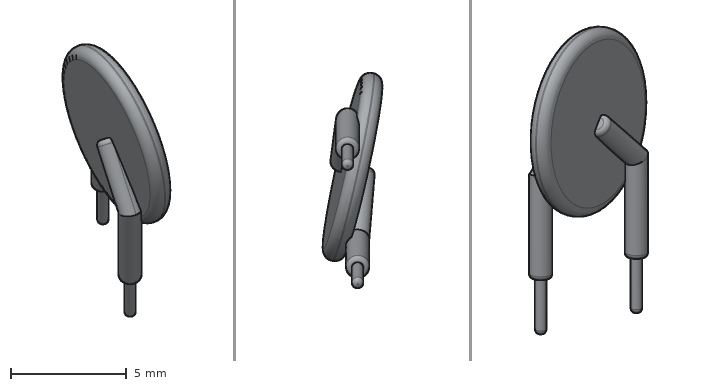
import cadquery as cq

disc_diameter = 8.3
disc_thickness = 0.96
rim_band = 0.04
rim_fillet = (disc_thickness - rim_band) / 2

lead_pitch = 5.08
lead_offset_y = 0.8
sleeve_diameter = 1.02
sleeve_fillet = 0.23
pin_diameter = 0.51
pin_fillet = 0.23
pin_length = 2.5
overall_height = 13.2

bend_z = -2.06
pin_tip_z = disc_diameter / 2 - overall_height
sleeve_bottom_z = pin_tip_z + pin_length


def make_disc():
    """Round disc with both rims rounded."""
    disc = cq.Workplane("XZ").circle(disc_diameter / 2).extrude(disc_thickness / 2, both=True)
    return disc.faces("|Y").edges().fillet(rim_fillet)


def make_sleeve():
    """Vertical sleeve, mitred into an arm that ends at the middle of the front face."""
    bottom = (lead_pitch / 2, -lead_offset_y, sleeve_bottom_z)
    bend = (lead_pitch / 2, -lead_offset_y, bend_z)
    arm_end = (0, -disc_thickness / 2, 0)
    path = cq.Workplane("XY").polyline([bottom, bend, arm_end])
    sleeve = (
        cq.Workplane("XY", origin=bottom)
        .circle(sleeve_diameter / 2)
        .sweep(path, transition="right")
    )
    return sleeve.edges("%CIRCLE").fillet(sleeve_fillet)


def make_pin():
    """Bare pin below the sleeve, with a rounded tip."""
    pin = (
        cq.Workplane("XY", origin=(lead_pitch / 2, -lead_offset_y, pin_tip_z))
        .circle(pin_diameter / 2)
        .extrude(pin_length + sleeve_fillet)
    )
    return pin.faces("<Z").edges().fillet(pin_fillet)


front_lead = make_sleeve().union(make_pin())
back_lead = front_lead.rotate((0, 0, 0), (0, 0, 1), 180)

result = make_disc().union(front_lead).union(back_lead)